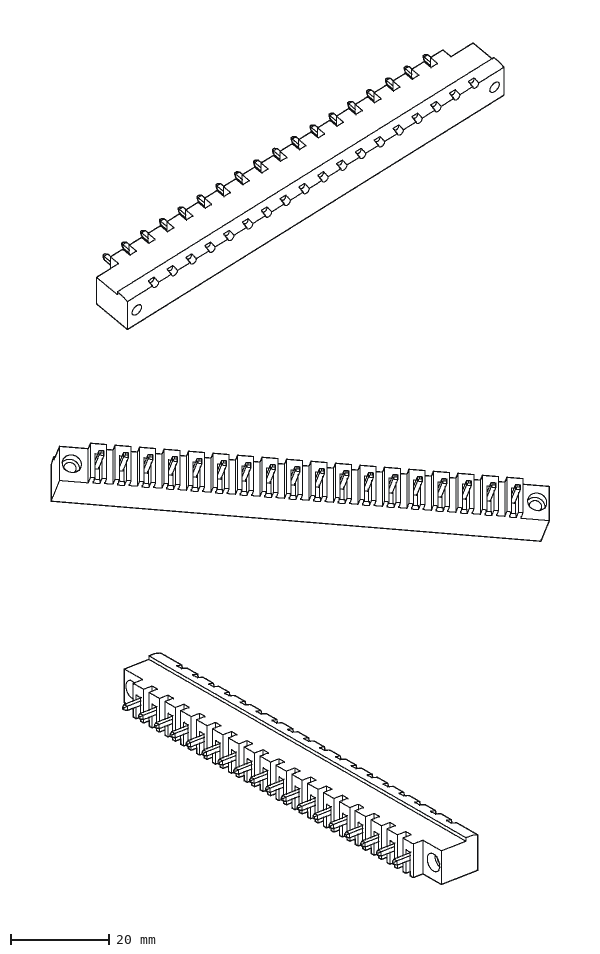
import cadquery as cq

total_depth = 16.2
length = 101.6
total_height = 8.6

contact_count = 18
pitch = 5.1
contact_z = 4.1
contact_ys = [(i - (contact_count - 1) / 2) * pitch for i in range(contact_count)]

pin_reach = 4.0
block_depth = 2.5
block_width = 3.4
gap_depth = 2.2
block_face_x = pin_reach
gap_floor_x = block_face_x + gap_depth
body_back_x = block_face_x + block_depth
body_top = 7.8

lip_start_x = 13.0
slope_start_x = 14.6
slope_end_z = 8.2

notch_start_x = 14.7
notch_end_lean = 0.3
notch_radius = 0.8
notch_axis_lift = 0.3

pocket_width = 1.4
pocket_top = 5.5
pocket_depth = 3.0
step_height = 0.9
step_depth = 2.4
pocket_floor_x = block_face_x + pocket_depth
step_floor_x = block_face_x + step_depth

pin_size = 1.0
tip_size = 0.5
tip_length = 0.6

hole_diameter = 2.5
counterbore_diameter = 4.0
counterbore_depth = 2.0
hole_end_distance = 2.5
hole_z = contact_z
hole_ys = [side * (length / 2 - hole_end_distance) for side in (-1, 1)]


def box(x_range, y_center, width, z_range):
    """Box spanning an X range and a Z range, centred on y_center."""
    return (
        cq.Workplane("XY", origin=(x_range[0], y_center, z_range[0]))
        .box(x_range[1] - x_range[0], width, z_range[1] - z_range[0], centered=(False, True, False))
    )


def rod(start_x, end_x, y, z, diameter):
    """Round rod along X."""
    return cq.Workplane("YZ", origin=(start_x, y, z)).circle(diameter / 2).extrude(end_x - start_x)


def make_body():
    """Bar with the lip, as one profile extruded along Y."""
    profile = [
        (body_back_x, 0),
        (total_depth, 0),
        (total_depth, slope_end_z),
        (slope_start_x, total_height),
        (lip_start_x, total_height),
        (lip_start_x, body_top),
        (body_back_x, body_top),
    ]
    return cq.Workplane("XZ").polyline(profile).close().extrude(length / 2, both=True)


def make_notch(y):
    """Half-round groove steeper than the slope of the lip, its inner end leaning back."""
    axis_start = (slope_start_x, y, total_height + notch_axis_lift)
    run = total_depth - slope_start_x
    drop = total_height + notch_axis_lift - slope_end_z
    axis_plane = cq.Plane(origin=axis_start, xDir=(0, 1, 0), normal=(run, 0, -drop))
    groove = cq.Workplane(axis_plane).circle(notch_radius).extrude(2 * run)
    keep_bottom = slope_end_z - 2 * notch_radius
    keep_profile = [
        (notch_start_x, total_height),
        (total_depth, total_height),
        (total_depth, keep_bottom),
        (notch_start_x + notch_end_lean * (total_height - keep_bottom), keep_bottom),
    ]
    keep = (
        cq.Workplane("XZ", origin=(0, y, 0))
        .polyline(keep_profile)
        .close()
        .extrude(notch_radius, both=True)
    )
    return groove.intersect(keep)


def make_pin(y):
    """Square pin from its tapered tip to the pocket floor."""
    pin_z_range = (contact_z - pin_size / 2, contact_z + pin_size / 2)
    shank = box((tip_length, pocket_floor_x), y, pin_size, pin_z_range)
    tip = (
        cq.Workplane("YZ", origin=(0, y, contact_z))
        .rect(tip_size, tip_size)
        .workplane(offset=tip_length)
        .rect(pin_size, pin_size)
        .loft()
    )
    return shank.union(tip)


body = make_body()

for y in contact_ys:
    body = body.union(box((block_face_x, body_back_x), y, block_width, (0, body_top)))
for y in contact_ys[:-1]:
    gap_y = y + pitch / 2
    web = box((gap_floor_x, body_back_x), gap_y, pitch - block_width, (0, body_top))
    body = body.union(web)

for y in contact_ys:
    body = body.cut(box((block_face_x, step_floor_x), y, pocket_width, (0, step_height)))
    body = body.cut(box((block_face_x, pocket_floor_x), y, pocket_width, (step_height, pocket_top)))
    body = body.cut(make_notch(y))

for y in hole_ys:
    body = body.cut(rod(body_back_x, total_depth, y, hole_z, hole_diameter))
    body = body.cut(rod(body_back_x, body_back_x + counterbore_depth, y, hole_z, counterbore_diameter))

for y in contact_ys:
    body = body.union(make_pin(y))

result = body